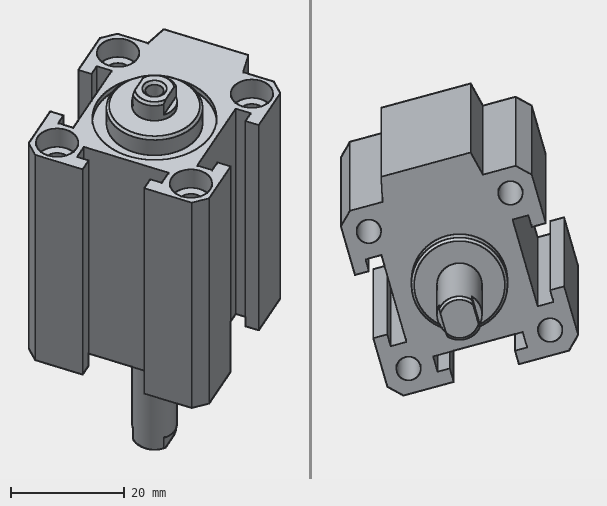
import cadquery as cq


width = 35.0
half_width = width / 2
total_depth = 39.5
housing_height = 49.0
corner_chamfer = 2.3

rail_tip_half_width = 8.2
rail_base_half_width = 9.2
rail_tip_y = total_depth - half_width

slot_depth = 5.5
slot_lip = 2.6
slot_half_width = 8.2
slot_mouth_half_width = 6.0

mount_spacing = 26.0
mount_hole_diameter = 4.3
counterbore_diameter = 7.5
counterbore_depth = 4.4

collar_diameter = 17.0
collar_height = 3.0
collar_chamfer = 0.5
recess_diameter = 22.0
recess_depth = 1.2

rod_diameter = 8.0
rod_length = 83.0
rod_upper_projection = 4.1
rod_chamfer = 0.5
flat_width = 6.0
flat_height = 3.0
rod_hole_diameter = 3.2
rod_hole_mouth_diameter = 4.3
rod_hole_mouth_angle = 90
rod_hole_depth = 8.0

rod_top = housing_height + collar_height + rod_upper_projection
rod_bottom = rod_top - rod_length


def make_block():
    """Square block with chamfered corners and the tapered rail on its +Y side."""
    block = (
        cq.Workplane("XY")
        .rect(width, width)
        .extrude(housing_height)
        .edges("|Z")
        .chamfer(corner_chamfer)
    )
    rail = (
        cq.Workplane("XY")
        .polyline([
            (-rail_base_half_width, 0),
            (-rail_base_half_width, half_width),
            (-rail_tip_half_width, rail_tip_y),
            (rail_tip_half_width, rail_tip_y),
            (rail_base_half_width, half_width),
            (rail_base_half_width, 0),
        ])
        .close()
        .extrude(housing_height)
    )
    return block.union(rail)


def make_slot(angle):
    """T-slot cutter for the -Y side, turned about Z by the angle in degrees."""
    lip_y = -half_width + slot_lip
    floor_y = -half_width + slot_depth
    return (
        cq.Workplane("XY")
        .polyline([
            (-slot_mouth_half_width, -half_width),
            (-slot_mouth_half_width, lip_y),
            (-slot_half_width, lip_y),
            (-slot_half_width, floor_y),
            (slot_half_width, floor_y),
            (slot_half_width, lip_y),
            (slot_mouth_half_width, lip_y),
            (slot_mouth_half_width, -half_width),
        ])
        .close()
        .extrude(housing_height)
        .rotate((0, 0, 0), (0, 0, 1), angle)
    )


def make_collars():
    """Two chamfered collars joined into one cylinder that runs through the block."""
    return (
        cq.Workplane("XY")
        .workplane(offset=-collar_height)
        .circle(collar_diameter / 2)
        .extrude(housing_height + 2 * collar_height)
        .faces("<Z or >Z")
        .chamfer(collar_chamfer)
    )


def make_housing():
    """Slotted block with mounting holes, recess, collars and the bore for the rod."""
    housing = make_block()
    for slot_angle in (-90, 0, 90):
        housing = housing.cut(make_slot(slot_angle))
    housing = (
        housing.faces(">Z")
        .workplane(origin=(0, 0, housing_height))
        .rect(mount_spacing, mount_spacing, forConstruction=True)
        .vertices()
        .cboreHole(mount_hole_diameter, counterbore_diameter, counterbore_depth)
    )
    housing = (
        housing.faces(">Z")
        .workplane(origin=(0, 0, housing_height))
        .hole(recess_diameter, recess_depth)
    )
    housing = housing.union(make_collars())
    return housing.faces(">Z").workplane(origin=(0, 0, 0)).hole(rod_diameter)


def make_rod():
    """Through rod with a pair of flats at each end and a blind hole in its upper end."""
    rod = (
        cq.Workplane("XY")
        .workplane(offset=rod_bottom)
        .circle(rod_diameter / 2)
        .extrude(rod_length)
        .faces("<Z or >Z")
        .chamfer(rod_chamfer)
    )
    flat_center_x = (flat_width + rod_diameter) / 2
    for flat_z in (rod_bottom, rod_top - flat_height):
        flats = (
            cq.Workplane("XY")
            .workplane(offset=flat_z)
            .pushPoints([(-flat_center_x, 0), (flat_center_x, 0)])
            .rect(rod_diameter, rod_diameter)
            .extrude(flat_height)
        )
        rod = rod.cut(flats)
    return (
        rod.faces(">Z")
        .workplane(origin=(0, 0, rod_top))
        .cskHole(rod_hole_diameter, rod_hole_mouth_diameter, rod_hole_mouth_angle, rod_hole_depth)
    )


housing = make_housing()
rod = make_rod()

result = cq.Compound.makeCompound([housing.val(), rod.val()])